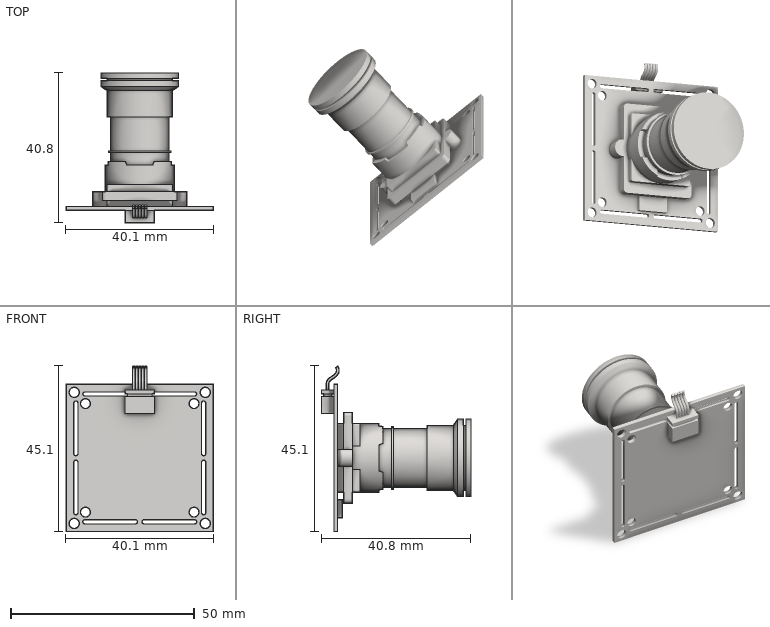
import cadquery as cq


BOARD_SIDE = 40.15
BOARD_THICKNESS = 1.1
CORNER_HOLE_DIAMETER = 2.7
CORNER_HOLE_OFFSET = 17.85
INNER_HOLE_DIAMETER = 2.6
INNER_HOLE_OFFSET = 14.8
SLOT_WIDTH = 1.1
SLOT_OFFSET = 17.4
SLOT_END = 15.45
SLOT_BRIDGE = 1.25

HEADER_WIDTH = 8.4
HEADER_TOP_Z = -11.35
HEADER_BOTTOM_Z = -16.3
HEADER_HEIGHT = 1.25

CONNECTOR_WIDTH = 7.98
CONNECTOR_DEPTH = 3.4
HOUSING_BOTTOM_Z = 12.08
HOUSING_TOP_Z = 16.7
NECK_WIDTH = 6.75
NECK_GAP = 0.55
NECK_DEPTH = 2.25
HEAD_BOTTOM_Z = 17.45
HEAD_TOP_Z = 18.5

WIRE_COUNT = 5
WIRE_DIAMETER = 0.75
WIRE_GAP = 0.065
WIRE_PITCH = WIRE_DIAMETER + WIRE_GAP
WIRE_Y = -CONNECTOR_DEPTH / 2
WIRE_BEND_Z = BOARD_SIDE / 2
WIRE_MIDDLE = (1.4, 1.85)
WIRE_CREST = (2.8, 3.7)
WIRE_END = (2.5, 4.7)
WIRE_END_DIRECTION = (-0.6, 0.8)

BLOCK_WIDTH = 17.7
BLOCK_HEIGHT = 18.85
BLOCK_FILLET = 0.6
BLOCK_TOP_Y = 7.07
FLANGE_WIDTH = 20.4
FLANGE_HEIGHT = 24.75
FLANGE_FILLET = 1.1
FLANGE_BOTTOM_Y = 2.65
FLANGE_TOP_Y = 5.1
LUG_RADIUS = 2.35
LUG_OFFSET = 10.5
COLLAR_RADIUS = BLOCK_HEIGHT / 2
NOTCH_FLOOR_Y = 12.3
COLLAR_TOP_Y = 13.35
NOTCH_FLOOR_WIDTH = 7.07
NOTCH_TOP_WIDTH = 7.85

BARREL_RADIUS = 8.0
RING_RADIUS = 8.55
RING_BOTTOM_Y = 15.73
RING_TOP_Y = 16.2
SLEEVE_RADIUS = 8.88
SLEEVE_BOTTOM_Y = 25.4
CONE_BOTTOM_Y = 32.6
RIM_RADIUS = 10.6
RIM_BOTTOM_Y = 33.75
GROOVE_BOTTOM_Y = 35.3
GROOVE_TOP_Y = 35.95
LENS_TOP_Y = 37.4


def box(x_size, y_min, y_max, z_min, z_max):
    """Box centred on X = 0 between the given Y and Z limits."""
    return cq.Workplane("XY").box(x_size, y_max - y_min, z_max - z_min).translate(
        (0, (y_min + y_max) / 2, (z_min + z_max) / 2)
    )


def sketch_plane(y):
    """Plane across the lens axis whose local axes are X and Z and whose extrusions go toward -Y."""
    return cq.Workplane("XZ", origin=(0, y, 0))


def four_corners(offset):
    return [(x, z) for x in (-offset, offset) for z in (-offset, offset)]


def make_board():
    board = sketch_plane(BOARD_THICKNESS).rect(BOARD_SIDE, BOARD_SIDE).extrude(BOARD_THICKNESS)
    plane = sketch_plane(BOARD_THICKNESS)
    corner_holes = plane.pushPoints(four_corners(CORNER_HOLE_OFFSET)).circle(CORNER_HOLE_DIAMETER / 2)
    board = board.cut(corner_holes.extrude(BOARD_THICKNESS))
    inner_holes = plane.pushPoints(four_corners(INNER_HOLE_OFFSET)).circle(INNER_HOLE_DIAMETER / 2)
    board = board.cut(inner_holes.extrude(BOARD_THICKNESS))

    slot_length = SLOT_END - SLOT_BRIDGE / 2
    slot_middle = (SLOT_END + SLOT_BRIDGE / 2) / 2
    slot_pair = (
        plane.pushPoints([(-slot_middle, SLOT_OFFSET), (slot_middle, SLOT_OFFSET)])
        .slot2D(slot_length, SLOT_WIDTH)
        .extrude(BOARD_THICKNESS)
    )
    for side in range(4):
        board = board.cut(slot_pair.rotate((0, 0, 0), (0, 1, 0), 90 * side))
    return board


def make_header():
    return box(HEADER_WIDTH, BOARD_THICKNESS, BOARD_THICKNESS + HEADER_HEIGHT, HEADER_BOTTOM_Z, HEADER_TOP_Z)


def make_wire(x):
    """One wire: straight out of the plug head, then in an S toward the board and up again."""
    path = (
        cq.Workplane("YZ", origin=(x, WIRE_Y, WIRE_BEND_Z))
        .moveTo(0, HEAD_TOP_Z - WIRE_BEND_Z)
        .lineTo(0, 0)
        .spline([(0, 0), WIRE_MIDDLE, WIRE_CREST, WIRE_END], tangents=[(0, 1), WIRE_END_DIRECTION])
    )
    return cq.Workplane("XY", origin=(x, WIRE_Y, HEAD_TOP_Z)).circle(WIRE_DIAMETER / 2).sweep(path)


def make_connector():
    housing = box(CONNECTOR_WIDTH, -CONNECTOR_DEPTH, 0, HOUSING_BOTTOM_Z, HOUSING_TOP_Z)
    neck = box(NECK_WIDTH, -NECK_GAP - NECK_DEPTH, -NECK_GAP, HOUSING_TOP_Z, HEAD_BOTTOM_Z)
    head = box(CONNECTOR_WIDTH, -CONNECTOR_DEPTH, 0, HEAD_BOTTOM_Z, HEAD_TOP_Z)
    connector = housing.union(neck).union(head)
    for index in range(WIRE_COUNT):
        connector = connector.union(make_wire((index - (WIRE_COUNT - 1) / 2) * WIRE_PITCH))
    return connector


def make_mount():
    block = (
        sketch_plane(BLOCK_TOP_Y)
        .rect(BLOCK_WIDTH, BLOCK_HEIGHT)
        .extrude(BLOCK_TOP_Y - BOARD_THICKNESS)
        .edges("|Y")
        .fillet(BLOCK_FILLET)
    )
    flange = (
        sketch_plane(FLANGE_TOP_Y)
        .rect(FLANGE_WIDTH, FLANGE_HEIGHT)
        .extrude(FLANGE_TOP_Y - FLANGE_BOTTOM_Y)
        .edges("|Y")
        .fillet(FLANGE_FILLET)
    )
    lugs = (
        sketch_plane(FLANGE_TOP_Y)
        .pushPoints([(-LUG_OFFSET, 0), (LUG_OFFSET, 0)])
        .circle(LUG_RADIUS)
        .extrude(FLANGE_TOP_Y - BOARD_THICKNESS)
    )
    collar = sketch_plane(COLLAR_TOP_Y).circle(COLLAR_RADIUS).extrude(COLLAR_TOP_Y - FLANGE_TOP_Y)
    notch = (
        cq.Workplane("XY")
        .polyline(
            [
                (-NOTCH_FLOOR_WIDTH / 2, NOTCH_FLOOR_Y),
                (NOTCH_FLOOR_WIDTH / 2, NOTCH_FLOOR_Y),
                (NOTCH_TOP_WIDTH / 2, COLLAR_TOP_Y),
                (-NOTCH_TOP_WIDTH / 2, COLLAR_TOP_Y),
            ]
        )
        .close()
        .extrude(COLLAR_RADIUS, both=True)
    )
    collar = collar.cut(notch).cut(notch.rotate((0, 0, 0), (0, 1, 0), 90))
    return block.union(flange).union(lugs).union(collar)


def make_lens():
    profile = [
        (0, NOTCH_FLOOR_Y),
        (BARREL_RADIUS, NOTCH_FLOOR_Y),
        (BARREL_RADIUS, RING_BOTTOM_Y),
        (RING_RADIUS, RING_BOTTOM_Y),
        (RING_RADIUS, RING_TOP_Y),
        (BARREL_RADIUS, RING_TOP_Y),
        (BARREL_RADIUS, SLEEVE_BOTTOM_Y),
        (SLEEVE_RADIUS, SLEEVE_BOTTOM_Y),
        (SLEEVE_RADIUS, CONE_BOTTOM_Y),
        (RIM_RADIUS, RIM_BOTTOM_Y),
        (RIM_RADIUS, GROOVE_BOTTOM_Y),
        (SLEEVE_RADIUS, GROOVE_BOTTOM_Y),
        (SLEEVE_RADIUS, GROOVE_TOP_Y),
        (RIM_RADIUS, GROOVE_TOP_Y),
        (RIM_RADIUS, LENS_TOP_Y),
        (0, LENS_TOP_Y),
    ]
    return cq.Workplane("ZY").polyline(profile).close().revolve(360, (0, 0, 0), (0, 1, 0))


board = make_board()
header = make_header()
connector = make_connector()
camera = make_mount().union(make_lens())

result = cq.Compound.makeCompound([board.val(), header.val(), connector.val(), camera.val()])